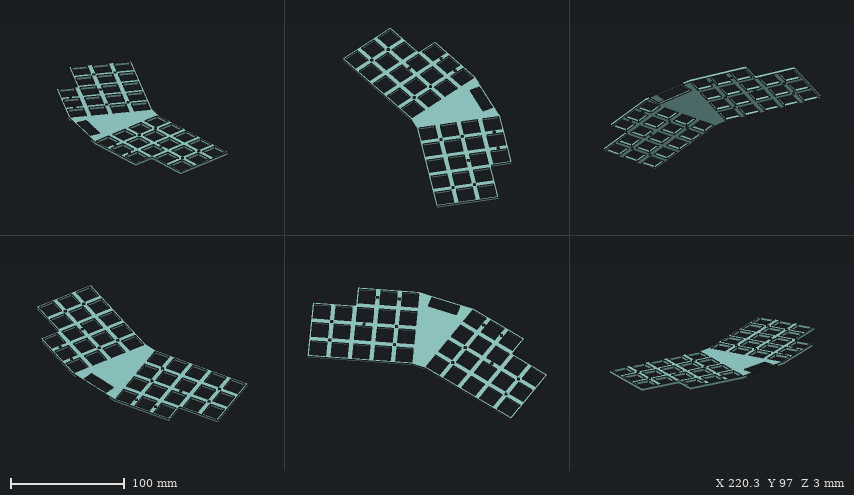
import cadquery as cq
import math

width = 220.3
depth = 97.0
thickness = 3.0
half_angle = math.radians(15.0)
corner_radius = 1.0

switch_size = 14.0
columns = 5
grid_span = 76.2
pitch = grid_span / (columns - 1)
full_rows = 3
thumb_row = full_rows
thumb_first_column = 2
rim = 2.2
border = switch_size / 2 + rim

screw_diameter = 2.0
screw_places = [(0.5, 0.5), (3.5, 0.5), (0.5, 1.5), (2, 1.5), (3.5, 1.5), (2.5, 3), (3.5, 3)]

window_width = 26.0
window_depth = 8.8
window_front_rim = 2.5
recess_left = -21.0
recess_right = 17.5
recess_depth = 12.3
recess_height = 2.0

back_flat_half = 6.4

sin_a = math.sin(half_angle)
cos_a = math.cos(half_angle)
corner_loss = corner_radius * (sin_a + cos_a - 1)
full_rows_front = -(full_rows - 1) * pitch - border
origin_x = -width / 2 + border * cos_a - full_rows_front * sin_a - corner_loss
origin_y = depth / 2 - border * (sin_a + cos_a) + corner_loss


def left_point(along, up):
    """Plate coordinates of a point given in the left half's tilted grid directions."""
    x = origin_x + along * cos_a + up * sin_a
    y = origin_y - along * sin_a + up * cos_a
    return x, y


def key_center(column, row):
    return left_point(column * pitch, -row * pitch)


def mirrored(solid):
    """The left-half solid joined by its mirror image on the right half."""
    return solid.union(solid.mirror("YZ"))


def make_plate():
    step = thumb_first_column * pitch - border
    thumb_front = -thumb_row * pitch - border
    rounded_corners = [
        left_point(-border, border),
        left_point(-border, full_rows_front),
        left_point(step, full_rows_front),
        left_point(step, thumb_front),
    ]
    outer_x, outer_y = rounded_corners[0]
    thumb_x, thumb_y = rounded_corners[-1]
    slope = math.tan(half_angle)
    back_kink = (-back_flat_half, outer_y - (-back_flat_half - outer_x) * slope)
    front_kink = (thumb_x + (thumb_y + depth / 2) / slope, -depth / 2)
    left_outline = [back_kink, *rounded_corners, front_kink]
    right_outline = [(-x, y) for x, y in reversed(left_outline)]
    plate = cq.Workplane("XY").polyline(left_outline + right_outline).close().extrude(thickness)
    for x, y in rounded_corners:
        for side in (-1, 1):
            corner_edge = cq.selectors.NearestToPointSelector((side * x, y, thickness / 2))
            plate = plate.edges("|Z").edges(corner_edge).fillet(corner_radius)
    return plate


def make_switch_openings():
    keys = [(column, row) for row in range(full_rows) for column in range(columns)]
    keys += [(column, thumb_row) for column in range(thumb_first_column, columns)]
    centers = [key_center(column, row) for column, row in keys]
    square = cq.Sketch().rect(switch_size, switch_size, angle=-math.degrees(half_angle))
    return mirrored(cq.Workplane("XY").pushPoints(centers).placeSketch(square).extrude(thickness))


def make_screw_holes():
    centers = [key_center(column, row) for column, row in screw_places]
    return mirrored(cq.Workplane("XY").pushPoints(centers).circle(screw_diameter / 2).extrude(thickness))


def make_display_cut():
    front = -depth / 2
    window_y = front + window_front_rim + window_depth / 2
    window = cq.Workplane("XY").center(0, window_y).rect(window_width, window_depth).extrude(thickness)
    recess_size = (recess_right - recess_left, recess_depth, recess_height)
    recess = cq.Workplane("XY").box(*recess_size, centered=False).translate((recess_left, front, 0))
    return window.union(recess)


result = make_plate().cut(make_switch_openings()).cut(make_screw_holes()).cut(make_display_cut())